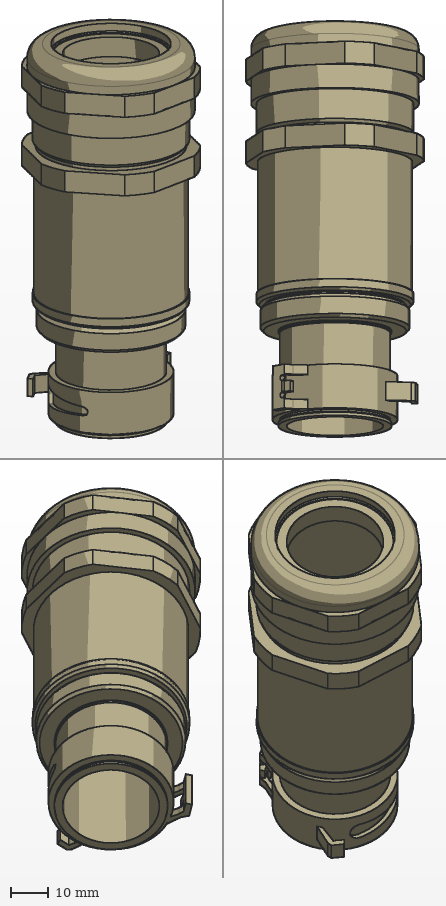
import cadquery as cq
import math


bore_radius = 13.0
total_height = 107.0

hex_flats = 45.0
hex_corner_radius = 24.0
hex_height = 6.0

cap_radius = hex_flats / 2
dome_radius = 4.1
cap_hex_bottom = 94.5
cap_bottom = 88.1
mouth_radius = 16.0
mouth_depth = 2.8
mouth_floor_radius = 15.6
mouth_lip_height = 0.3
mouth_chamfer_height = 0.3

spigot_radius = 20.3
spigot_top = 98.7
collar_radius = 21.1
collar_chamfer_top = 79.9
collar_bottom = 79.1
body_hex_bottom = 72.1
barrel_radius = 20.8
ring_radius = collar_radius
ring_top = 36.2
ring_bottom = 33.2
ring_chamfer = 0.7
gap_radius = 18.7
disc_radius = 20.0
disc_top = 32.6
disc_bottom = 26.0
disc_chamfer = 0.9
disc_top_chamfer_height = 1.1
tube_radius = 14.9
lip_radius = 15.2
bottom_lip_length = 0.9
top_lip_length = 0.3
lip_taper = lip_radius - tube_radius

band_radius = 16.8
band_bottom = 1.7
band_top = 13.7
band_middle = (band_bottom + band_top) / 2
hook_height = 5.0

teardrop_depth = 1.3
teardrop_large_x = -3.5
teardrop_large_radius = 2.6
teardrop_small_x = 11.5
teardrop_small_radius = 1.3

window_height = 6.8
tongue_height = 2.9
relief_radius = 0.7
relief_rise = 2.4
relief_setback = 0.6
relief_depth = 4.3

bend_outer = (-12.2, 17.8)
bend_inner = (-10.2, 16.9)
tip_outer = (-8.8, 19.9)

arm_outline = [
    (-12.6, 11.2),
    (-11.9, 15.3),
    bend_outer,
    tip_outer,
    (-7.7, 18.5),
    bend_inner,
    (-10.6, 15.3),
    (-10.7, 11.8),
]
tongue_outline = [
    (-11.6, 18.2),
    bend_outer,
    (-13.2, 16.3),
    (-12.3, 15.2),
    (-10.8, 16.5),
    bend_inner,
]
hook_outline = [
    (-13.3, -10.4),
    (-14.4, -17.1),
    (-14.1, -18.3),
    (-11.1, -19.9),
    (-10.2, -18.6),
    (-12.7, -17.2),
    (-12.2, -10.7),
]


def cylinder(radius, bottom, top):
    return cq.Workplane("XY").workplane(offset=bottom).circle(radius).extrude(top - bottom)


def turned(profile):
    """Solid of revolution about Z from a closed (radius, z) outline."""
    return cq.Workplane("XZ").polyline(profile).close().revolve(360, (0, 0), (0, 1))


def hexagon(bottom):
    """Hexagonal flange with flats facing +Y and -Y and its corners turned round."""
    corner_diameter = hex_flats / math.cos(math.pi / 6)
    prism = cq.Workplane("XY").workplane(offset=bottom).polygon(6, corner_diameter).extrude(hex_height)
    return prism.intersect(cylinder(hex_corner_radius, bottom, bottom + hex_height))


def strip(outline, height):
    """Upright strip with the given plan outline, centred on the height of the band."""
    bottom = band_middle - height / 2
    return cq.Workplane("XY").workplane(offset=bottom).polyline(outline).close().extrude(height)


def make_cap_nut():
    cap = cylinder(cap_radius, cap_bottom, total_height).faces(">Z").edges().fillet(dome_radius)
    cap = cap.union(hexagon(cap_hex_bottom))
    cap = cap.cut(cylinder(spigot_radius, cap_bottom, spigot_top))
    cap = cap.cut(cylinder(bore_radius, cap_bottom, total_height))

    floor = total_height - mouth_depth
    mouth_profile = [
        (0, floor),
        (mouth_floor_radius, floor),
        (mouth_floor_radius, floor + mouth_lip_height),
        (mouth_radius, floor + mouth_lip_height + mouth_chamfer_height),
        (mouth_radius, total_height),
        (0, total_height),
    ]
    return cap.cut(turned(mouth_profile))


def make_main_body():
    profile = [
        (bore_radius, 0),
        (lip_radius, 0),
        (lip_radius, bottom_lip_length),
        (tube_radius, bottom_lip_length + lip_taper),
        (tube_radius, disc_bottom - top_lip_length - lip_taper),
        (lip_radius, disc_bottom - top_lip_length),
        (lip_radius, disc_bottom),
        (disc_radius - disc_chamfer, disc_bottom),
        (disc_radius, disc_bottom + disc_chamfer),
        (disc_radius, disc_top - disc_top_chamfer_height),
        (disc_radius - disc_chamfer, disc_top),
        (gap_radius, disc_top),
        (gap_radius, ring_bottom),
        (ring_radius - ring_chamfer, ring_bottom),
        (ring_radius, ring_bottom + ring_chamfer),
        (ring_radius, ring_top),
        (barrel_radius, ring_top),
        (barrel_radius, body_hex_bottom),
        (spigot_radius, body_hex_bottom),
        (spigot_radius, collar_bottom),
        (collar_radius, collar_chamfer_top),
        (collar_radius, cap_bottom),
        (spigot_radius, cap_bottom),
        (spigot_radius, spigot_top),
        (bore_radius, spigot_top),
    ]
    body = turned(profile).union(hexagon(body_hex_bottom))
    return body.cut(cylinder(bore_radius, 0, spigot_top))


def make_teardrop():
    """Cutter for the recess: two circles joined by their common tangents, open to the front."""
    span = teardrop_small_x - teardrop_large_x
    tangent_x = (teardrop_large_radius - teardrop_small_radius) / span
    tangent_z = math.sqrt(1 - tangent_x**2)

    def tangent_point(center_x, radius, side):
        return (center_x + radius * tangent_x, band_middle + side * radius * tangent_z)

    outline = (
        cq.Workplane("XZ")
        .moveTo(*tangent_point(teardrop_large_x, teardrop_large_radius, 1))
        .threePointArc(
            (teardrop_large_x - teardrop_large_radius, band_middle),
            tangent_point(teardrop_large_x, teardrop_large_radius, -1),
        )
        .lineTo(*tangent_point(teardrop_small_x, teardrop_small_radius, -1))
        .threePointArc(
            (teardrop_small_x + teardrop_small_radius, band_middle),
            tangent_point(teardrop_small_x, teardrop_small_radius, 1),
        )
        .close()
    )
    return outline.extrude(band_radius).cut(cylinder(band_radius - teardrop_depth, band_bottom, band_top))


def make_latch_arm():
    """Bent strip with a window, a tongue bent out at the window's end and two relief holes."""
    arm = strip(arm_outline, band_top - band_bottom)
    window_outline = [
        bend_outer,
        bend_inner,
        (bend_inner[0], 0),
        (-band_radius, 0),
        (-band_radius, bend_outer[1]),
    ]
    arm = arm.cut(strip(window_outline, window_height))

    along = cq.Vector(tip_outer[0] - bend_outer[0], tip_outer[1] - bend_outer[1], 0).normalized()
    normal = cq.Vector(-along.y, along.x, 0)
    for side in (-1, 1):
        center = cq.Vector(*bend_outer, band_middle + side * relief_rise) + along * relief_setback
        start = center - normal * (relief_depth / 2)
        hole = cq.Solid.makeCylinder(relief_radius, relief_depth, start, normal)
        arm = arm.cut(cq.Workplane(obj=hole))
    return arm.union(strip(tongue_outline, tongue_height))


def make_clamp():
    clamp = cylinder(band_radius, band_bottom, band_top).cut(make_teardrop())
    clamp = clamp.union(make_latch_arm())
    clamp = clamp.union(strip(hook_outline, hook_height))
    return clamp.cut(cylinder(tube_radius, band_bottom, band_top))


cap_nut = make_cap_nut()
main_body = make_main_body()
clamp = make_clamp()

result = cq.Compound.makeCompound(
    [
        cap_nut.solids().val(),
        main_body.solids().val(),
        clamp.solids().val(),
    ]
)